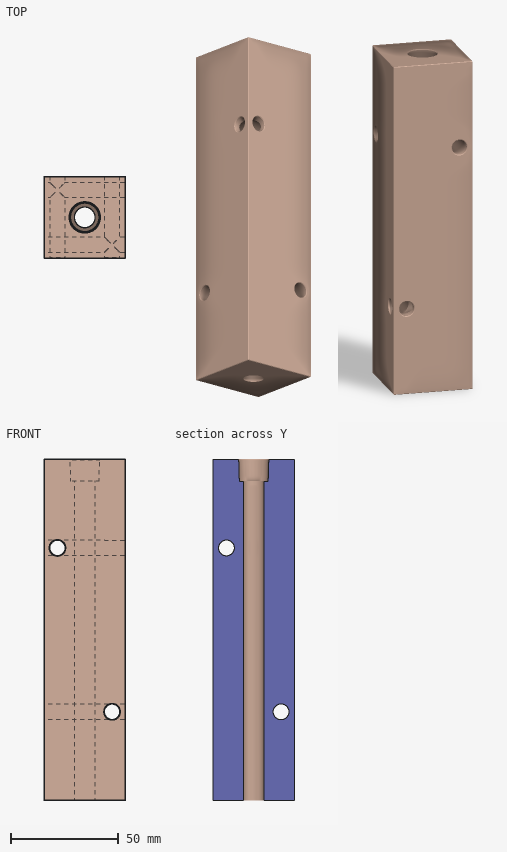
import cadquery as cq

height = 158.8
width = 38.1
edge_chamfer = 0.25

bore_diameter = 9.5
port_diameter = 13.8
port_chamfer = 0.4
port_depth = 10.2
port_taper = 1 / 16

cross_diameter = 7.1
cross_chamfer = 0.3
cross_offset = width / 3
cross_height = width


def revolved_cutter(outline):
    """Solid of revolution about Z from a closed outline of (radius, z) points."""
    return cq.Workplane("XZ").polyline(outline).close().revolve(360, (0, 0, 0), (0, 1, 0))


def make_bar():
    return cq.Workplane("XY").box(width, width, height).edges().chamfer(edge_chamfer)


def make_axial_cutter():
    """Through bore and tapered port, with a flat shoulder between them."""
    top = height / 2
    floor = top - port_depth
    bore_radius = bore_diameter / 2
    port_radius = port_diameter / 2
    floor_radius = port_radius - port_taper * port_depth / 2
    throat_radius = port_radius - port_taper * port_chamfer / 2
    return revolved_cutter([
        (0, -top),
        (bore_radius, -top),
        (bore_radius, floor),
        (floor_radius, floor),
        (throat_radius, top - port_chamfer),
        (port_radius + port_chamfer, top),
        (0, top),
    ])


def make_cross_cutter():
    """Hole across the bar's width, chamfered at both mouths, lying along Z."""
    face = width / 2
    radius = cross_diameter / 2
    mouth_radius = radius + cross_chamfer
    return revolved_cutter([
        (0, -face),
        (mouth_radius, -face),
        (radius, -face + cross_chamfer),
        (radius, face - cross_chamfer),
        (mouth_radius, face),
        (0, face),
    ])


def cut_cross_holes(body):
    """One upper and one lower hole in each direction, on opposite sides of the bar's axis."""
    cutter = make_cross_cutter()
    along_y = cutter.rotate((0, 0, 0), (1, 0, 0), 90)
    along_x = cutter.rotate((0, 0, 0), (0, 1, 0), 90)
    for side in (1, -1):
        body = body.cut(along_y.translate((-side * cross_offset, 0, side * cross_height)))
        body = body.cut(along_x.translate((0, side * cross_offset, side * cross_height)))
    return body


result = cut_cross_holes(make_bar().cut(make_axial_cutter()))